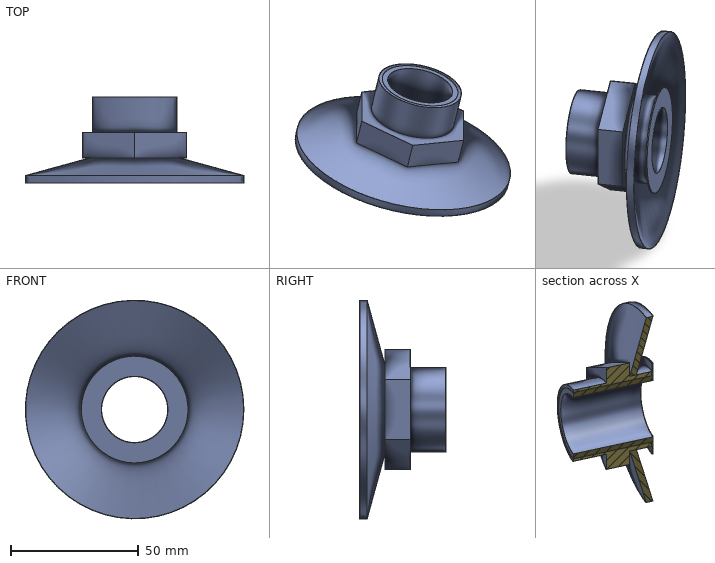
import cadquery as cq
import math


total_length = 34.0
thread_diameter = 33.25
thread_length = 14.0
hex_across_flats = 41.0
hex_length = 10.0
neck_diameter = 35.0

bore_diameter = 26.0
bush_diameter = 30.5
flange_diameter = 42.0
flange_thickness = 0.5

disc_diameter = 86.0
disc_thickness = 3.0

hex_back = total_length - thread_length
hex_front = hex_back - hex_length
hex_across_corners = hex_across_flats / math.cos(math.pi / 6)
neck_length = hex_front - flange_thickness


def cylinder(diameter, front, length):
    """Cylinder on the Y axis from y = front, running toward +Y."""
    plane = cq.Plane(origin=(0, front, 0), xDir=(1, 0, 0), normal=(0, 1, 0))
    return cq.Workplane(plane).circle(diameter / 2).extrude(length)


def make_connector():
    """Hexagon with a neck in front and a threaded spigot behind, bored through for the bush."""
    neck = cylinder(neck_diameter, flange_thickness, neck_length)
    hex_plane = cq.Plane(origin=(0, hex_front, 0), xDir=(0, 0, 1), normal=(0, 1, 0))
    hexagon = cq.Workplane(hex_plane).polygon(6, hex_across_corners).extrude(hex_length)
    spigot = cylinder(thread_diameter, hex_back, thread_length)
    bush_hole = cylinder(bush_diameter, flange_thickness, total_length - flange_thickness)
    return neck.union(hexagon).union(spigot).cut(bush_hole)


def make_cone_disc():
    """Conical disc of even wall around the neck, with its back edge against the hexagon."""
    neck_radius = neck_diameter / 2
    disc_radius = disc_diameter / 2
    profile = (
        cq.Workplane("XY")
        .moveTo(neck_radius, hex_front - disc_thickness)
        .lineTo(disc_radius, 0)
        .lineTo(disc_radius, disc_thickness)
        .lineTo(neck_radius, hex_front)
        .close()
    )
    return profile.revolve(360, (0, 0, 0), (0, 1, 0))


def make_bush():
    """Tube lining the connector, with a thin flange covering the front of the neck."""
    flange = cylinder(flange_diameter, 0, flange_thickness)
    tube = cylinder(bush_diameter, 0, total_length)
    bore = cylinder(bore_diameter, 0, total_length)
    return flange.union(tube).cut(bore)


connector = make_connector()
cone_disc = make_cone_disc()
bush = make_bush()

result = cq.Compound.makeCompound([connector.val(), cone_disc.val(), bush.val()])